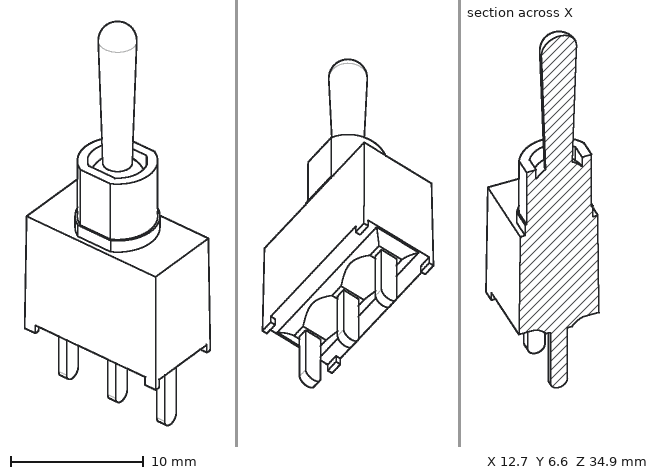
import cadquery as cq
import math

total_height = 34.85
body_bottom_z = 5.6
sealant_tip_z = 5.68
recess_z = 6.35
body_top_z = 16.03
collar_top_z = 17.08
bushing_top_z = 22.25
knob_seam_z = 33.4

body_length = 12.7
body_width = 6.6
top_inset = 0.1
foot_length = 1.05
foot_width = 0.42

collar_radius = 3.2
collar_flat_width = 5.58
bushing_radius = 3.03
bushing_flat_width = 5.33
bore_radius = 2.25
bore_flat_width = 3.75

pivot_radius = bore_radius
pivot_z = 20.05
lever_base_radius = 1.1
lever_tip_radius = total_height - knob_seam_z

pin_pitch = 4.75
pin_thickness = 0.75
pin_width = 1.43
pin_x_positions = (-pin_pitch, 0, pin_pitch)
sealant_base_width = 3.97
sealant_tip_width = 2.15
sealant_flank_sag = 0.07
sealant_land = 1.1
sealant_arch_z = 6.17


def flatted_cylinder(radius, flat_width, bottom_z, top_z):
    """Vertical cylinder trimmed by two flats parallel to the XZ plane."""
    height = top_z - bottom_z
    cylinder = cq.Workplane("XY", origin=(0, 0, bottom_z)).circle(radius).extrude(height)
    slab = cq.Workplane("XY", origin=(0, 0, bottom_z)).rect(2 * radius, flat_width).extrude(height)
    return cylinder.intersect(slab)


def make_body():
    height = body_top_z - body_bottom_z
    block = (
        cq.Workplane("XY", origin=(0, 0, body_bottom_z))
        .rect(body_length, body_width)
        .workplane(offset=height)
        .rect(body_length - 2 * top_inset, body_width - 2 * top_inset)
        .loft(ruled=True)
    )
    recess_height = recess_z - body_bottom_z
    floor = cq.Workplane("XY", origin=(0, 0, body_bottom_z))
    long_channel = floor.rect(body_length, body_width - 2 * foot_width).extrude(recess_height)
    cross_channel = floor.rect(body_length - 2 * foot_length, body_width).extrude(recess_height)
    return block.cut(long_channel).cut(cross_channel)


def sealant_ridge(plane, base_length, tip_length, depth):
    """Ridge with concave flanks in the given plane, extruded to both sides."""
    base_half = base_length / 2
    tip_half = tip_length / 2
    flank_x = (base_half + tip_half) / 2 - sealant_flank_sag
    flank_z = (recess_z + sealant_tip_z) / 2 + sealant_flank_sag
    return (
        cq.Workplane(plane)
        .moveTo(-base_half, recess_z)
        .threePointArc((-flank_x, flank_z), (-tip_half, sealant_tip_z))
        .lineTo(tip_half, sealant_tip_z)
        .threePointArc((flank_x, flank_z), (base_half, recess_z))
        .close()
        .extrude(depth / 2, both=True)
    )


def make_sealant():
    """Mound sloping on all four sides, arched upward between neighbouring pins."""
    tip_length = 2 * pin_pitch + sealant_land
    base_length = tip_length + sealant_base_width - sealant_tip_width
    mound = sealant_ridge("YZ", sealant_base_width, sealant_tip_width, body_length)
    mound = mound.intersect(sealant_ridge("XZ", base_length, tip_length, body_width))
    half_span = (pin_pitch - sealant_land) / 2
    for middle_x in (-pin_pitch / 2, pin_pitch / 2):
        arch = (
            cq.Workplane("XZ")
            .moveTo(middle_x - half_span, sealant_tip_z)
            .threePointArc((middle_x, sealant_arch_z), (middle_x + half_span, sealant_tip_z))
            .close()
            .extrude(body_width / 2, both=True)
        )
        mound = mound.cut(arch)
    return mound


def make_pin(x):
    """Flat pin with a round tip, reaching up to the underside of the body."""
    half_width = pin_width / 2
    return (
        cq.Workplane("YZ", origin=(x, 0, 0))
        .moveTo(-half_width, recess_z)
        .lineTo(-half_width, half_width)
        .threePointArc((0, 0), (half_width, half_width))
        .lineTo(half_width, recess_z)
        .close()
        .extrude(pin_thickness / 2, both=True)
    )


def make_bushing():
    collar = flatted_cylinder(collar_radius, collar_flat_width, body_top_z, collar_top_z)
    barrel = flatted_cylinder(bushing_radius, bushing_flat_width, collar_top_z, bushing_top_z)
    bore = flatted_cylinder(bore_radius, bore_flat_width, pivot_z, bushing_top_z)
    return collar.union(barrel).cut(bore)


def make_lever():
    """Pivot dome, flaring stem and hemispherical knob turned as one profile."""
    dome_top_z = pivot_z + math.sqrt(pivot_radius**2 - lever_base_radius**2)
    dome_angle = math.acos(lever_base_radius / pivot_radius) / 2
    dome_middle = (pivot_radius * math.cos(dome_angle), pivot_z + pivot_radius * math.sin(dome_angle))
    knob_offset = lever_tip_radius * math.sqrt(0.5)
    lever = (
        cq.Workplane("XZ")
        .moveTo(0, pivot_z)
        .lineTo(pivot_radius, pivot_z)
        .threePointArc(dome_middle, (lever_base_radius, dome_top_z))
        .lineTo(lever_tip_radius, knob_seam_z)
        .threePointArc((knob_offset, knob_seam_z + knob_offset), (0, total_height))
        .close()
        .revolve(360, (0, 0, 0), (0, 1, 0))
    )
    bore_slab = cq.Workplane("XY", origin=(0, 0, pivot_z)).rect(2 * pivot_radius, bore_flat_width)
    return lever.intersect(bore_slab.extrude(total_height - pivot_z))


result = make_body().union(make_sealant()).union(make_bushing()).union(make_lever())
for pin_x in pin_x_positions:
    result = result.union(make_pin(pin_x))